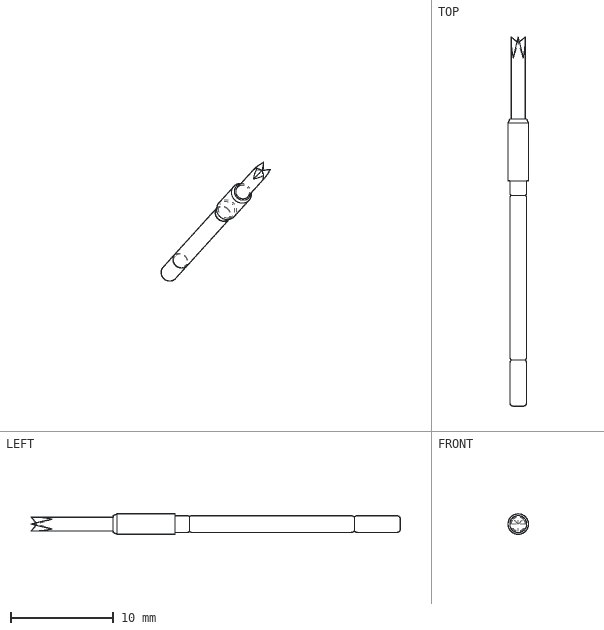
import cadquery as cq
import math

total_length = 36.0
tip_y = total_length / 2

plunger_radius = 0.7
plunger_end = 8.0

collar_radius = 1.0
collar_nose_radius = 0.83
collar_nose_length = 0.4
collar_end = 14.05

barrel_radius = 0.83
barrel_end_round = 0.35

front_crimp_station = 15.45
front_crimp_width = 0.45
front_crimp_depth = 0.1
rear_crimp_station = 31.5
rear_crimp_width = 0.65
rear_crimp_depth = 0.15

tooth_count = 4
crown_centre_depth = 0.58
crown_valley_depth = 2.05


def at_station(radius, station):
    """Profile point: radius along X, distance back from the tip along Y."""
    return radius, tip_y - station


def add_crimp(profile, station, width, depth):
    """Continue a barrel profile through one crimp ring."""
    half_width = width / 2
    round_radius = (half_width**2 + depth**2) / (2 * depth)
    half_sweep = math.asin(half_width / round_radius) / 2
    mid_offset = half_width - round_radius * math.sin(half_sweep)
    mid_radius = barrel_radius - round_radius * (1 - math.cos(half_sweep))
    return (
        profile.lineTo(*at_station(barrel_radius, station - half_width))
        .threePointArc(
            at_station(mid_radius, station - mid_offset),
            at_station(barrel_radius - depth, station),
        )
        .threePointArc(
            at_station(mid_radius, station + mid_offset),
            at_station(barrel_radius, station + half_width),
        )
    )


def make_pin():
    """Plunger, collar and barrel as one turned body."""
    profile = (
        cq.Workplane("XY")
        .moveTo(*at_station(0, 0))
        .lineTo(*at_station(plunger_radius, 0))
        .lineTo(*at_station(plunger_radius, plunger_end))
        .lineTo(*at_station(collar_nose_radius, plunger_end))
        .lineTo(*at_station(collar_radius, plunger_end + collar_nose_length))
        .lineTo(*at_station(collar_radius, collar_end))
        .lineTo(*at_station(barrel_radius, collar_end))
    )
    profile = add_crimp(profile, front_crimp_station, front_crimp_width, front_crimp_depth)
    profile = add_crimp(profile, rear_crimp_station, rear_crimp_width, rear_crimp_depth)
    profile = (
        profile.lineTo(*at_station(barrel_radius, total_length))
        .lineTo(*at_station(0, total_length))
        .close()
    )
    pin = profile.revolve(360, (0, 0, 0), (0, 1, 0))
    return pin.faces("<Y").edges().fillet(barrel_end_round)


def make_valley_cutter():
    """V-shaped prism whose floor starts at the crown centre and falls toward +X."""
    floor_slope = (crown_valley_depth - crown_centre_depth) / plunger_radius
    half_tooth_angle = math.pi / tooth_count
    wall_slope = (
        floor_slope * math.cos(half_tooth_angle) + crown_centre_depth / plunger_radius
    ) / math.sin(half_tooth_angle)

    floor_direction = cq.Vector(1, -floor_slope, 0).normalized()
    wall_height = 3 * crown_valley_depth
    half_opening = wall_height / (wall_slope * floor_direction.x)
    reach = 2 * crown_valley_depth
    section = cq.Plane(
        origin=(0, tip_y - crown_centre_depth, 0), xDir=(0, 0, -1), normal=floor_direction.toTuple()
    )
    return (
        cq.Workplane(section)
        .polyline([(0, 0), (half_opening, wall_height), (-half_opening, wall_height)])
        .close()
        .extrude(reach, both=True)
    )


def cut_crown(pin):
    """Cut the valleys midway between teeth at +X, +Z, -X and -Z."""
    pitch = 360 / tooth_count
    cutter = make_valley_cutter()
    for index in range(tooth_count):
        pin = pin.cut(cutter.rotate((0, 0, 0), (0, 1, 0), (index + 0.5) * pitch))
    return pin


result = cut_crown(make_pin())